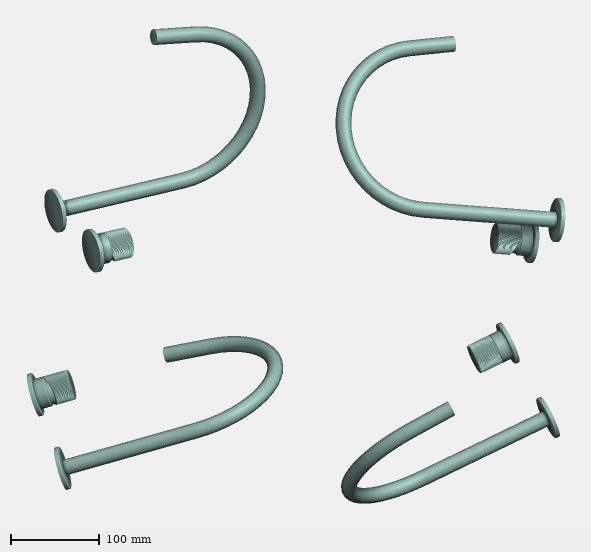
import cadquery as cq
import math

PLATE_DIAMETER = 50.0
PLATE_THICKNESS = 5.0
AXIS_SPACING = 100.0

EDGE_CHAMFER = 0.8

TUBE_DIAMETER = 18.0
STEM_END_Y = 161.0
SPOUT_REACH = 264.3
BEND_RADIUS = SPOUT_REACH - STEM_END_Y - TUBE_DIAMETER / 2
BEND_ANGLE = 170.0
NOZZLE_LENGTH = 53.0

KNOB_DIAMETER = 35.2
BASE_END_Y = 18.2
KNOB_END_Y = 45.5
BALL_DIAMETER = 31.7
RELIEF_ANGLE = 25.0
FLUTE_COUNT = 80
FLUTE_DEPTH = 0.65


def rod_along_y(diameter, start_y, end_y):
    """Cylinder centred on the Y axis, with its +Y edge chamfered."""
    rod = cq.Workplane("XZ", origin=(0, start_y, 0)).circle(diameter / 2)
    return rod.extrude(start_y - end_y).faces(">Y").chamfer(EDGE_CHAMFER)


def wall_plate():
    return rod_along_y(PLATE_DIAMETER, 0, PLATE_THICKNESS)


def spout_path():
    """Centre line of the tube in the YZ plane, starting on the back of the plate."""

    def bend_point(angle):
        turn = math.radians(angle)
        return (
            STEM_END_Y + BEND_RADIUS * math.sin(turn),
            BEND_RADIUS * (1 - math.cos(turn)),
        )

    bend_end_y, bend_end_z = bend_point(BEND_ANGLE)
    nozzle_heading = math.radians(BEND_ANGLE)
    mouth = (
        bend_end_y + NOZZLE_LENGTH * math.cos(nozzle_heading),
        bend_end_z + NOZZLE_LENGTH * math.sin(nozzle_heading),
    )
    return (
        cq.Workplane("YZ")
        .moveTo(PLATE_THICKNESS, 0)
        .lineTo(STEM_END_Y, 0)
        .threePointArc(bend_point(BEND_ANGLE / 2), (bend_end_y, bend_end_z))
        .lineTo(*mouth)
    )


def make_spout():
    profile = cq.Workplane("XZ", origin=(0, PLATE_THICKNESS, 0)).circle(TUBE_DIAMETER / 2)
    tube = profile.sweep(spout_path())
    return wall_plate().union(tube)


def fluted_grip():
    """Grip with V-shaped flutes all round and a bevelled end."""
    ridge_radius = KNOB_DIAMETER / 2
    valley_radius = ridge_radius - FLUTE_DEPTH
    outline = []
    for index in range(2 * FLUTE_COUNT):
        radius = ridge_radius if index % 2 == 0 else valley_radius
        angle = math.pi * index / FLUTE_COUNT
        outline.append((radius * math.cos(angle), radius * math.sin(angle)))
    grip = cq.Workplane("XZ", origin=(0, BASE_END_Y, 0)).polyline(outline).close()
    grip = grip.extrude(BASE_END_Y - KNOB_END_Y)
    return grip.intersect(rod_along_y(KNOB_DIAMETER, BASE_END_Y, KNOB_END_Y))


def grip_relief():
    """Wedge that opens downwards from the knob axis, between the base and the grip."""
    wedge_height = KNOB_DIAMETER
    wedge_opening = wedge_height * math.tan(math.radians(RELIEF_ANGLE))
    wedge = cq.Workplane("YZ").polyline(
        [
            (BASE_END_Y, 0),
            (BASE_END_Y, -wedge_height),
            (BASE_END_Y + wedge_opening, -wedge_height),
        ]
    )
    return wedge.close().extrude(KNOB_DIAMETER, both=True)


def make_knob():
    base = rod_along_y(KNOB_DIAMETER, PLATE_THICKNESS, BASE_END_Y)
    ball = cq.Workplane("XY", origin=(0, BASE_END_Y, 0)).sphere(BALL_DIAMETER / 2)
    grip = fluted_grip().cut(grip_relief())
    knob = wall_plate().union(base).union(ball).union(grip)
    return knob.translate((AXIS_SPACING, 0, 0))


spout = make_spout()
knob = make_knob()

result = cq.Compound.makeCompound([spout.val(), knob.val()])